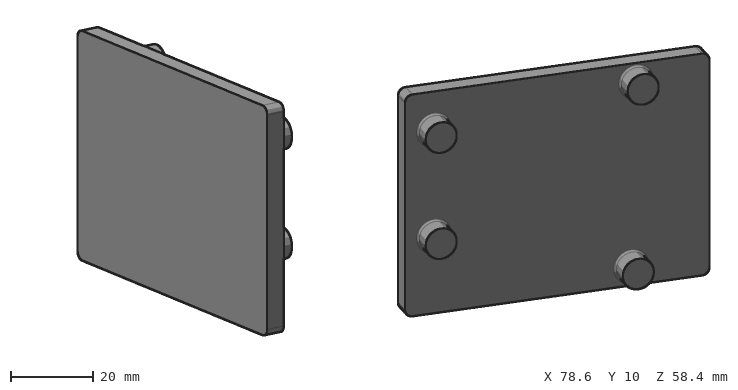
import cadquery as cq

plate_width = 78.6
plate_height = 58.4
total_depth = 10.0
plate_thickness = total_depth / 2
corner_radius = 2.0
pin_diameter = 8.0
pin_length = total_depth - plate_thickness
pin_root_fillet = 0.5

right_pin_x = 31.75
upper_left_pin_x = -20.35
lower_left_pin_x = -19.1
left_pin_z = 24.2
upper_right_pin_z = 19.0
lower_right_pin_z = -8.9
pin_centres = [
    (upper_left_pin_x, left_pin_z),
    (lower_left_pin_x, -left_pin_z),
    (right_pin_x, upper_right_pin_z),
    (right_pin_x, lower_right_pin_z),
]


def make_plate():
    """Upright rectangular plate with its front face on Y = 0."""
    return cq.Workplane("XY").box(
        plate_width, plate_thickness, plate_height, centered=(True, False, True)
    )


def add_pins(plate):
    """Round pins on the back face, each blended into the plate at its root."""
    pins = (
        cq.Workplane("XZ", origin=(0, plate_thickness, 0))
        .pushPoints(pin_centres)
        .circle(pin_diameter / 2)
        .extrude(-pin_length)
    )
    body = plate.union(pins)
    back_face = body.faces(cq.selectors.NearestToPointSelector((0, plate_thickness, 0)))
    return back_face.edges("%CIRCLE").fillet(pin_root_fillet)


def round_corners(body):
    """Round the four corners of the plate outline."""
    outline_edges = body.faces("<X or >X").edges("|Y")
    return outline_edges.fillet(corner_radius)


result = round_corners(add_pins(make_plate()))